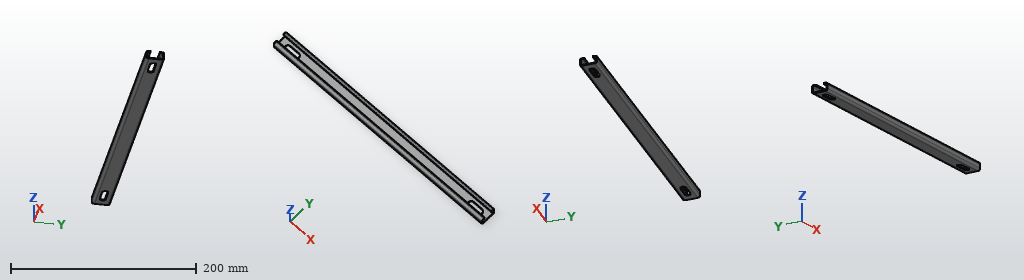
import cadquery as cq

length = 310.0
width = 20.0
height = 10.0

thickness = 1.5
bend_radius = 2.8
opening = 10.2

slot_length = 19.8
slot_width = 6.5
slot_center_from_end = 18.5


def rounded_bar(bar_width, bar_height, radius):
    """Bar along X, centred on the origin, with rounded long edges."""
    return cq.Workplane("XY").box(length, bar_width, bar_height).edges("|X").fillet(radius)


def make_channel():
    """C-shaped channel, open at the top between two inward lips."""
    outside = rounded_bar(width, height, bend_radius)
    cavity = rounded_bar(width - 2 * thickness, height - 2 * thickness, bend_radius - thickness)
    mouth = cq.Workplane("XY").box(length, opening, height / 2, centered=(True, True, False))
    return outside.cut(cavity).cut(mouth)


def make_slots():
    """Matching slots, one near each end, running along the channel."""
    slot_x = length / 2 - slot_center_from_end
    return (
        cq.Workplane("XY")
        .pushPoints([(-slot_x, 0), (slot_x, 0)])
        .slot2D(slot_length, slot_width)
        .extrude(-height)
    )


result = make_channel().cut(make_slots())